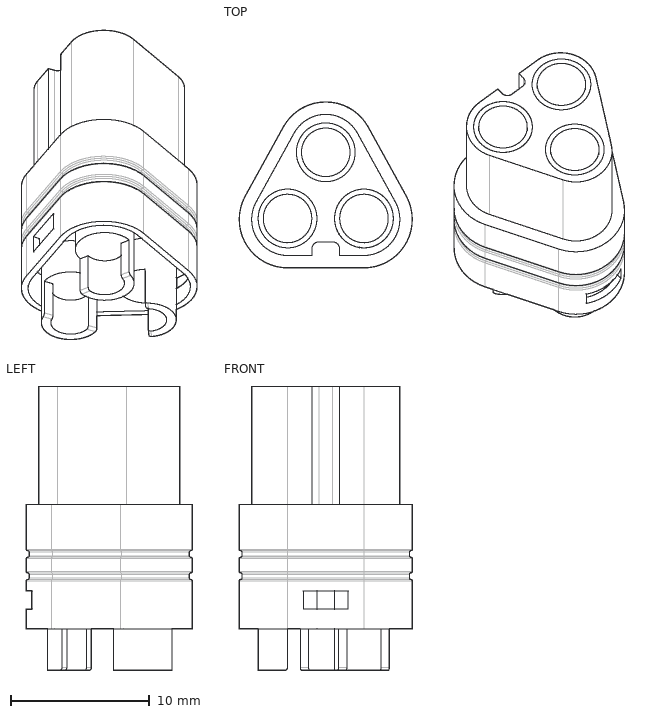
import cadquery as cq
import math


total_height = 20.5
base_bottom = 3.0
base_top = 12.0

overall_width = 12.5
overall_depth = 12.0
base_radius = 3.5
plug_inset = 0.9
plug_radius = base_radius - plug_inset
corner_spacing = overall_width - 2 * base_radius
corner_height = overall_depth - 2 * base_radius
corner_low_y = -corner_height / 3
corner_high_y = corner_low_y + corner_height

groove_round = 0.1
groove_depth = 2 * groove_round
groove_mouth = 0.68
groove_centres = (6.8, 8.4)

key_width = 1.99
key_depth = 0.98
key_corner_radius = 0.5

window_width = 3.24
window_height = 1.33
window_centre_z = 5.08

cavity_wall = 0.5
cavity_top = window_centre_z + window_height / 2

contact_diameter = 4.25
socket_diameter = 3.5
socket_depth = total_height - base_top
cup_diameter = 2.85
cup_depth = base_bottom
cup_edge_fillet = 0.2
contact_spacing = 5.51
contact_circle_radius = contact_spacing / math.sqrt(3)
contact_angles = ((90, 240), (210, 0), (330, 300))


def contact_position(angle):
    radians = math.radians(angle)
    return (contact_circle_radius * math.cos(radians), contact_circle_radius * math.sin(radians))


def rounded_triangle(radius, bottom):
    """Wire of three corner arcs joined by tangent sides, at height bottom."""
    half_spacing = corner_spacing / 2
    side_length = math.hypot(half_spacing, corner_height)
    normal_x = corner_height / side_length
    normal_y = half_spacing / side_length
    middle_angle = (math.atan2(normal_y, normal_x) - math.pi / 2) / 2
    middle_x = half_spacing + radius * math.cos(middle_angle)
    middle_y = corner_low_y + radius * math.sin(middle_angle)
    low_tangent_x = half_spacing + radius * normal_x
    low_tangent_y = corner_low_y + radius * normal_y
    high_tangent_x = radius * normal_x
    high_tangent_y = corner_high_y + radius * normal_y
    return (
        cq.Workplane("XY", origin=(0, 0, bottom))
        .moveTo(-half_spacing, corner_low_y - radius)
        .lineTo(half_spacing, corner_low_y - radius)
        .threePointArc((middle_x, middle_y), (low_tangent_x, low_tangent_y))
        .lineTo(high_tangent_x, high_tangent_y)
        .threePointArc((0, corner_high_y + radius), (-high_tangent_x, high_tangent_y))
        .lineTo(-low_tangent_x, low_tangent_y)
        .threePointArc((-middle_x, middle_y), (-half_spacing, corner_low_y - radius))
        .close()
    )


def seal_groove(centre_z):
    """Ring that removes one groove, swept round the base outline."""
    half_mouth = groove_mouth / 2
    half_floor = half_mouth - 2 * groove_round
    half_wall = half_mouth - groove_round
    bulge = groove_round * (1 - math.sqrt(0.5))
    path_start = (-corner_spacing / 2, corner_low_y - base_radius, centre_z)
    profile_plane = cq.Plane(origin=path_start, xDir=(0, 1, 0), normal=(1, 0, 0))
    profile = (
        cq.Workplane(profile_plane)
        .moveTo(0, half_mouth)
        .threePointArc((bulge, half_wall + bulge), (groove_round, half_wall))
        .threePointArc((groove_depth - bulge, half_wall - bulge), (groove_depth, half_floor))
        .lineTo(groove_depth, -half_floor)
        .threePointArc((groove_depth - bulge, bulge - half_wall), (groove_round, -half_wall))
        .threePointArc((bulge, -half_wall - bulge), (0, -half_mouth))
        .close()
    )
    return profile.sweep(rounded_triangle(base_radius, centre_z))


def make_keyway():
    plug_front_y = corner_low_y - plug_radius
    return (
        cq.Workplane("XY", origin=(0, plug_front_y, base_top))
        .rect(key_width, 2 * key_depth)
        .extrude(total_height - base_top)
        .edges("|Z and >Y")
        .fillet(key_corner_radius)
    )


def make_housing():
    housing = rounded_triangle(base_radius, base_bottom).extrude(base_top - base_bottom)
    housing = housing.union(rounded_triangle(plug_radius, base_top).extrude(total_height - base_top))
    housing = housing.cut(make_keyway())
    cavity = rounded_triangle(base_radius - cavity_wall, base_bottom).extrude(cavity_top - base_bottom)
    housing = housing.cut(cavity)
    for centre_z in groove_centres:
        housing = housing.cut(seal_groove(centre_z))
    window = cq.Workplane("XY", origin=(0, 0, window_centre_z)).box(
        window_width, 2 * overall_depth, window_height
    )
    housing = housing.cut(window)
    for position_angle, _ in contact_angles:
        contact_hole = (
            cq.Workplane("XY")
            .center(*contact_position(position_angle))
            .circle(contact_diameter / 2)
            .extrude(total_height)
        )
        housing = housing.cut(contact_hole)
    return housing


def make_contact(position_angle, opening_angle):
    contact = cq.Workplane("XY").circle(contact_diameter / 2).extrude(total_height)
    half_cut = cq.Workplane("XY").box(
        contact_diameter, contact_diameter, base_bottom, centered=(False, True, False)
    )
    contact = contact.cut(half_cut)
    contact = contact.faces("<Z").edges("|Y").fillet(cup_edge_fillet)
    cup = cq.Workplane("XY").circle(cup_diameter / 2).extrude(cup_depth)
    socket = (
        cq.Workplane("XY", origin=(0, 0, total_height - socket_depth))
        .circle(socket_diameter / 2)
        .extrude(socket_depth)
    )
    contact = contact.cut(cup).cut(socket)
    x, y = contact_position(position_angle)
    return contact.rotate((0, 0, 0), (0, 0, 1), opening_angle).translate((x, y, 0))


housing = make_housing()
contacts = [make_contact(position, opening) for position, opening in contact_angles]

result = cq.Compound.makeCompound([housing.val(), *[contact.val() for contact in contacts]])